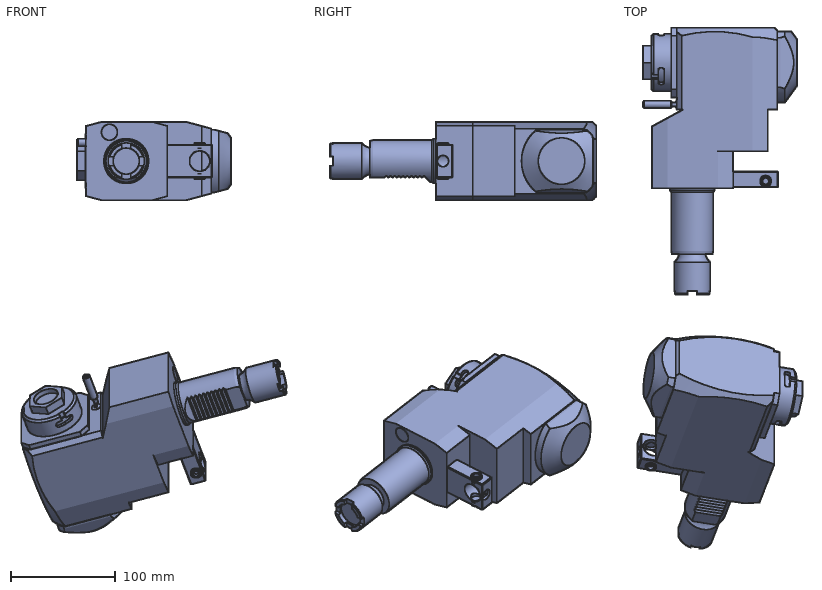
import cadquery as cq
import math

half_height = 37.5
side_angle = 15.0
base_left = -38.5
base_right = 39.0
base_shoulder = 24.5
left_shoulder = -23.7
middle_right = 72.2
head_left = -14.8
head_right = 81.3
right_shoulder = 57.5
head_edge_bevel = 4.8
base_end = 35.2
head_start = 75.2
head_end = 153.5
slope_start = 59.2
slope_end_x = -9.0
head_corner_bevel = 2.8
crown_radius = 178.5
crown_center_x = 21.5
crown_edge_y = 149.7

spindle_y = 120.0
plate_half = head_end - spindle_y
plate_thickness = 5.4
plate_corner = 8.0
collar_face = -39.0
collar_radius = 27.5
collar_chamfer = 2.0
slot_width = 5.5
slot_length = 18.5
slot_depth = 3.8
slot_x = -29.5
notch_width = 5.0
notch_depth = 3.0
grip_angles = (30, 150, 270)
nut_face = -47.2
nut_flats = 32.1
nut_bore_radius = 12.0
nut_bore_depth = 5.0

cap_radius = 38.2
cap_end_radius = 22.2
cap_end = 100.2
cap_cone_start = 88.5
cap_back = 150.0
cap_flat_half = 30.0
cap_bevel_start = 84.2

shank_radius = 20.1
shank_end = -63.0
shank_chamfer = 3.0
shank_chamfer_depth = 0.8
collar_ring_radius = 21.5
collar_ring_length = 2.0
collar_ring_taper_end = -3.8
neck_radius = 12.8
drive_start = -70.6
drive_end = -101.5
drive_radius = 17.3
drive_chamfer = 1.0
neck_curve_sag = 0.3
socket_radius = 12.5
socket_depth = 5.0
key_depth = 3.3
key_width = 8.7
rack_flat = 15.8
tooth_pitch = 4.0
tooth_depth = 1.5
tooth_count = 10
first_valley = -11.2
rack_runout = 7.6

arm_end = 82.0
arm_front = 0.8
arm_back = 16.0
arm_half_height = 15.8
arm_bore_radius = 9.7
arm_bore_x = 70.0
screw_y = 7.0
screw_radius = 5.4
screw_projection = 1.5
screw_tip = 12.2
screw_chamfer = 0.8
screw_socket_radius = 3.0
screw_socket_depth = 3.8
arm_chamfer = 0.8

pin_y = 80.0
pin_z = 17.8
pin_radius = 3.5
pin_chamfer = 1.3
pin_shoulder = -19.5
pin_neck_radius = 2.0
pin_socket_radius = 2.0
pin_socket_depth = 1.3
button_z = 10.0
button_radius = 4.5
button_height = 1.3
button_hole_radius = 1.5

plug_x = -16.0
plug_z = 27.5
plug_radius = 7.6
plug_recess = 0.3

bevel_slope = math.tan(math.radians(side_angle))


def spindle_plane(x):
    """Plane facing +X, centred on the spindle; local x is Y and local y is Z."""
    return cq.Workplane("YZ", origin=(x, spindle_y, 0))


def cylinder_x(start, end, radius, y, z):
    return cq.Workplane("YZ", origin=(start, y, z)).circle(radius).extrude(end - start)


def cylinder_y(start, end, radius, x, z):
    return cq.Workplane("XZ", origin=(x, start, z)).circle(radius).extrude(start - end)


def housing_prism(y_start, y_end, left, left_top, left_slope, right, right_top):
    """Length of housing whose section has bevelled left and right edges."""
    left_z = half_height - (left_top - left) * left_slope
    right_z = half_height - (right - right_top) * bevel_slope
    section = [
        (left, -left_z), (left_top, -half_height), (right_top, -half_height), (right, -right_z),
        (right, right_z), (right_top, half_height), (left_top, half_height), (left, left_z),
    ]
    return cq.Workplane("XZ", origin=(0, y_start, 0)).polyline(section).close().extrude(y_start - y_end)


def crown():
    """Cylinder inclined at 45 degrees whose surface bevels the back top edge."""
    crest = (crown_edge_y + half_height) / 2
    offset = crown_radius / math.sqrt(2)
    plane = cq.Plane(
        origin=(crown_center_x, crest - offset, crest - offset), xDir=(1, 0, 0), normal=(0, 1, -1)
    )
    return cq.Workplane(plane).circle(crown_radius).extrude(2 * head_end, both=True)


def housing():
    head = housing_prism(
        head_start, head_end, head_left, head_left + head_edge_bevel, 1.0, head_right, right_shoulder
    )
    head = head.edges("|Z and >X and >Y").chamfer(head_corner_bevel)
    rounding = crown()
    head = head.intersect(rounding).intersect(rounding.mirror("XY"))
    middle = housing_prism(
        base_end, head_start, base_left, left_shoulder, bevel_slope, middle_right, right_shoulder
    )
    slope = (
        cq.Workplane("XY")
        .polyline([(base_left, slope_start), (slope_end_x, head_start), (base_left, head_start)])
        .close()
        .extrude(half_height, both=True)
    )
    base = housing_prism(
        0, base_end, base_left, left_shoulder, bevel_slope, base_right, base_shoulder
    )
    plug = cylinder_y(0, plug_recess, plug_radius, plug_x, plug_z)
    return base.union(middle.cut(slope)).union(head).cut(plug)


def spindle_nose():
    plate_face = head_left - plate_thickness
    plate = (
        spindle_plane(plate_face)
        .rect(2 * plate_half, 2 * plate_half)
        .extrude(plate_thickness)
        .edges("|X")
        .chamfer(plate_corner)
    )
    collar = spindle_plane(collar_face).circle(collar_radius).extrude(plate_face - collar_face)
    collar = collar.faces("<X").edges().chamfer(collar_chamfer)
    slot = (
        cq.Workplane("XY", origin=(slot_x, spindle_y, 0))
        .slot2D(slot_length, slot_width, 90)
        .extrude(collar_radius)
    )
    slot_floor = cylinder_x(collar_face, plate_face, collar_radius - slot_depth, spindle_y, 0)
    slot = slot.cut(slot_floor)
    notch_length = slot_x - collar_face
    notch = cq.Workplane("XY").box(notch_length, notch_width, 2 * notch_depth).translate(
        (collar_face + notch_length / 2, spindle_y, collar_radius)
    )
    grip = slot.union(notch)
    axis_start = (0, spindle_y, 0)
    axis_end = (1, spindle_y, 0)
    for angle in grip_angles:
        collar = collar.cut(grip.rotate(axis_start, axis_end, angle))
    nut = (
        spindle_plane(nut_face)
        .polygon(6, nut_flats / math.cos(math.pi / 6))
        .extrude(collar_face - nut_face)
        .rotate(axis_start, axis_end, 90)
    )
    nut_bore = spindle_plane(nut_face).circle(nut_bore_radius).extrude(nut_bore_depth)
    return plate.union(collar).union(nut).cut(nut_bore)


def end_cap():
    cap = (
        cq.Workplane("XY")
        .polyline([
            (head_right, spindle_y), (head_right, spindle_y + cap_radius),
            (cap_cone_start, spindle_y + cap_radius), (cap_end, spindle_y + cap_end_radius),
            (cap_end, spindle_y),
        ])
        .close()
        .revolve(360, (0, spindle_y, 0), (1, spindle_y, 0))
    )
    end_half = cap_flat_half - (cap_end - cap_bevel_start) * bevel_slope
    front = spindle_y - cap_radius
    limits = (
        cq.Workplane("XZ", origin=(0, front, 0))
        .polyline([
            (head_right, -cap_flat_half), (cap_bevel_start, -cap_flat_half), (cap_end, -end_half),
            (cap_end, end_half), (cap_bevel_start, cap_flat_half), (head_right, cap_flat_half),
        ])
        .close()
        .extrude(front - cap_back)
    )
    return cap.intersect(limits)


def rack_cut():
    """Material removed below the shank: a flat with V notches and a sloped run-out."""
    valley_z = tooth_depth - rack_flat
    clear_z = -2 * shank_radius
    points = [
        (first_valley + rack_runout, valley_z - rack_runout),
        (first_valley, valley_z),
    ]
    for i in range(tooth_count):
        valley_y = first_valley - i * tooth_pitch
        if i > 0:
            points.append((valley_y, valley_z))
        points.append((valley_y - tooth_pitch / 2, -rack_flat))
    points += [
        (shank_end, -rack_flat), (shank_end, clear_z), (first_valley + rack_runout, clear_z),
    ]
    return cq.Workplane("YZ").polyline(points).close().extrude(shank_radius * 2, both=True)


def shank():
    ring_edge = -collar_ring_length
    body = (
        cq.Workplane("XY")
        .polyline([
            (0, 0), (collar_ring_radius, 0), (collar_ring_radius, ring_edge),
            (shank_radius, collar_ring_taper_end), (shank_radius, shank_end + shank_chamfer),
            (shank_radius - shank_chamfer_depth, shank_end), (0, shank_end),
        ])
        .close()
        .revolve(360, (0, 0, 0), (0, 1, 0))
    )
    return body.cut(rack_cut())


def drive_end_piece():
    drive = (
        cq.Workplane("XY")
        .moveTo(0, shank_end)
        .lineTo(neck_radius, shank_end)
        .threePointArc(
            (neck_radius + neck_curve_sag * (drive_radius - neck_radius), (shank_end + drive_start) / 2),
            (drive_radius, drive_start),
        )
        .lineTo(drive_radius, drive_end + drive_chamfer)
        .lineTo(drive_radius - drive_chamfer, drive_end)
        .lineTo(0, drive_end)
        .close()
        .revolve(360, (0, 0, 0), (0, 1, 0))
    )
    key_center = drive_end + key_depth / 2
    drive = drive.cut(cylinder_y(drive_end, drive_end + socket_depth, socket_radius, 0, 0))
    for length_x, length_z in ((2 * drive_radius, key_width), (key_width, 2 * drive_radius)):
        key = cq.Workplane("XY").box(length_x, key_depth, length_z)
        drive = drive.cut(key.translate((0, key_center, 0)))
    return drive


def coolant_arm():
    arm = cq.Workplane("XY").box(
        arm_end - base_right, arm_back - arm_front, 2 * arm_half_height, centered=False
    ).translate((base_right, arm_front, -arm_half_height))
    arm = arm.edges("not(<X)").chamfer(arm_chamfer)
    bore = cylinder_y(arm_front, arm_back, arm_bore_radius, arm_bore_x, 0)
    side_hole = cylinder_x(arm_bore_x, arm_end, screw_radius, screw_y, 0)
    tapped_hole = (
        cq.Workplane("XY", origin=(arm_bore_x, screw_y, 0))
        .circle(screw_radius)
        .extrude(screw_tip, both=True)
    )
    arm = arm.cut(bore).cut(side_hole).cut(tapped_hole)
    screw_top = arm_half_height + screw_projection
    screw = (
        cq.Workplane("XY", origin=(arm_bore_x, screw_y, screw_tip))
        .circle(screw_radius)
        .extrude(screw_top - screw_tip)
        .faces(">Z")
        .edges()
        .chamfer(screw_chamfer)
    )
    socket = (
        cq.Workplane("XY", origin=(arm_bore_x, screw_y, screw_top))
        .circle(screw_socket_radius)
        .extrude(-screw_socket_depth)
    )
    for side_screw, side_socket in ((screw, socket), (screw.mirror("XY"), socket.mirror("XY"))):
        arm = arm.union(side_screw).cut(side_socket)
    return arm


def locating_pin():
    pin = cylinder_x(nut_face, pin_shoulder, pin_radius, pin_y, pin_z).edges().chamfer(pin_chamfer)
    socket = cylinder_x(nut_face, nut_face + pin_socket_depth, pin_socket_radius, pin_y, pin_z)
    neck = cylinder_x(pin_shoulder, head_left, pin_neck_radius, pin_y, pin_z)
    return pin.cut(socket).union(neck)


def nozzle_button():
    """Low spherical button with a small central hole."""
    ball_radius = (button_radius**2 + button_height**2) / (2 * button_height)
    ball_x = head_left - button_height + ball_radius
    ball = cq.Workplane("XY").sphere(ball_radius).translate((ball_x, pin_y, button_z))
    blank = cylinder_x(head_left - button_height, head_left, button_radius, pin_y, button_z)
    hole = cylinder_x(head_left - button_height, head_left, button_hole_radius, pin_y, button_z)
    return ball.intersect(blank).cut(hole)


result = housing()
for piece in (
    spindle_nose(), end_cap(), shank(), drive_end_piece(), coolant_arm(), locating_pin(), nozzle_button()
):
    result = result.union(piece)